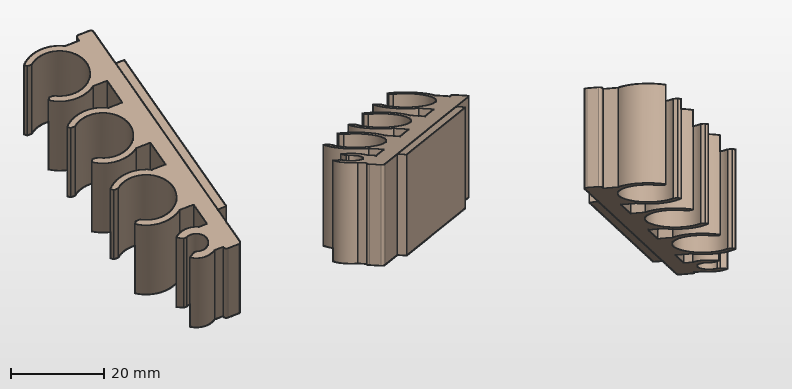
import cadquery as cq
import math

length = 69.45
height = 22.2
rail_depth = 3.95
corner_radius = 0.7

plate_length = 47.6
plate_depth = 2.1

large_count = 3
large_pitch = 20.15
large_outer_radius = 8.05
large_inner_radius = 6.5
large_center_y = -12.0
large_neck_width = 2 * large_inner_radius
large_mouth_width = 10.15
large_lip_length = 1.05

small_center_x = 64.9
small_outer_radius = 4.5
small_inner_radius = 2.6
small_center_y = -8.5
small_neck_width = 7.5
small_mouth_width = 4.6
small_lip_length = 0.6

tip_angle = math.radians(-45)


def make_clip(center_x, center_y, outer_radius, inner_radius, neck_width, mouth_width, lip_length):
    """C-shaped clip on a straight neck that reaches up to the front of the rail."""
    neck_x = neck_width / 2
    neck_y = math.sqrt(outer_radius**2 - neck_x**2)
    rail_front_y = -rail_depth - center_y
    tip_x = outer_radius * math.cos(tip_angle)
    tip_y = outer_radius * math.sin(tip_angle)
    mouth_x = mouth_width / 2
    lip_y = -math.sqrt(inner_radius**2 - mouth_x**2)
    return (
        cq.Workplane("XY", origin=(center_x, center_y, 0))
        .moveTo(-neck_x, rail_front_y)
        .lineTo(-neck_x, neck_y)
        .threePointArc((-outer_radius, 0), (-tip_x, tip_y))
        .lineTo(-mouth_x, lip_y - lip_length)
        .lineTo(-mouth_x, lip_y)
        .threePointArc((0, inner_radius), (mouth_x, lip_y))
        .lineTo(mouth_x, lip_y - lip_length)
        .lineTo(tip_x, tip_y)
        .threePointArc((outer_radius, 0), (neck_x, neck_y))
        .lineTo(neck_x, rail_front_y)
        .close()
        .extrude(height)
    )


def make_clip_rail():
    """Rail with rounded ends and all four clips, as one solid."""
    rail = (
        cq.Workplane("XY")
        .box(length, rail_depth, height, centered=False)
        .translate((0, -rail_depth, 0))
        .edges("|Z").fillet(corner_radius)
    )
    for index in range(large_count):
        rail = rail.union(make_clip(
            large_outer_radius + index * large_pitch, large_center_y,
            large_outer_radius, large_inner_radius,
            large_neck_width, large_mouth_width, large_lip_length,
        ))
    return rail.union(make_clip(
        small_center_x, small_center_y,
        small_outer_radius, small_inner_radius,
        small_neck_width, small_mouth_width, small_lip_length,
    ))


def make_backing_plate():
    """Flat plate against the back of the rail."""
    return (
        cq.Workplane("XY")
        .box(plate_length, plate_depth, height, centered=False)
        .translate(((length - plate_length) / 2, 0, 0))
    )


clip_rail = make_clip_rail()
backing_plate = make_backing_plate()

result = cq.Compound.makeCompound([clip_rail.solids().val(), backing_plate.val()])